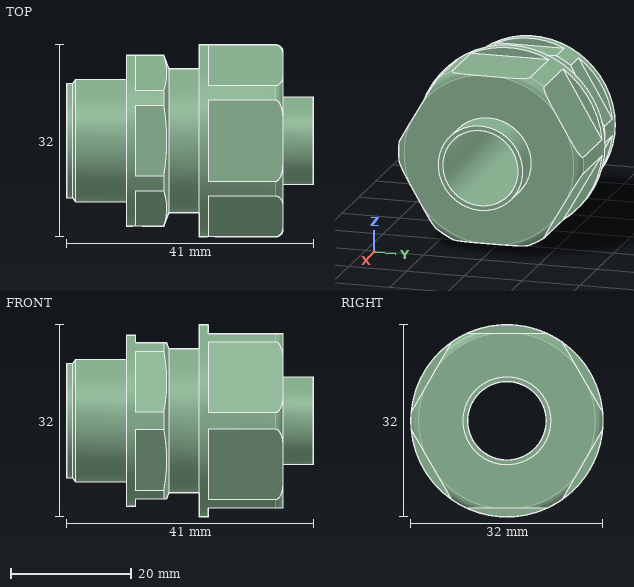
import cadquery as cq

lip_end = 1.02
thread_chamfer_end = 1.5
body_collar_start = 9.92
collar_thickness = 1.55
body_hex_cone_start = 16.15
body_hex_end = 17.0
nut_collar_start = 22.0
nut_end = 36.0
total_length = 41.0

bore_diameter = 13.0
tail_diameter = 14.6
lip_diameter = 19.05
thread_diameter = 20.4
neck_diameter = 24.0
body_collar_diameter = 28.5
nut_collar_diameter = 32.0

body_across_flats = 26.0
nut_across_flats = 29.0
nut_edge_radius = 1.3

cutter_margin = 0.8


def cylinder(start, end, diameter):
    """Solid cylinder along X between two stations."""
    return cq.Workplane("YZ", origin=(start, 0, 0)).circle(diameter / 2).extrude(end - start)


def cut_flats(body, start, end, across_flats, outer_diameter):
    """Trim a round body to a hexagon, with flats facing +Z and -Z."""
    stock = cylinder(start, end, outer_diameter + cutter_margin)
    hexagon = (
        cq.Workplane("YZ", origin=(start, 0, 0))
        .polygon(6, across_flats, circumscribed=True)
        .extrude(end - start)
        .rotate((0, 0, 0), (1, 0, 0), 90)
    )
    return body.cut(stock.cut(hexagon))


def make_threaded_end():
    """Plain thread cylinder with a chamfered start and a narrower lip."""
    profile = (
        cq.Workplane("XY")
        .moveTo(0, 0)
        .lineTo(0, lip_diameter / 2)
        .lineTo(lip_end, lip_diameter / 2)
        .lineTo(thread_chamfer_end, thread_diameter / 2)
        .lineTo(body_collar_start, thread_diameter / 2)
        .lineTo(body_collar_start, 0)
        .close()
    )
    return profile.revolve(360, (0, 0, 0), (1, 0, 0))


def make_body_hex():
    """Round collar followed by a hexagon whose end tapers to the neck."""
    profile = (
        cq.Workplane("XY")
        .moveTo(body_collar_start, 0)
        .lineTo(body_collar_start, body_collar_diameter / 2)
        .lineTo(body_hex_cone_start, body_collar_diameter / 2)
        .lineTo(body_hex_end, neck_diameter / 2)
        .lineTo(body_hex_end, 0)
        .close()
    )
    blank = profile.revolve(360, (0, 0, 0), (1, 0, 0))
    flats_start = body_collar_start + collar_thickness
    return cut_flats(blank, flats_start, body_hex_end, body_across_flats, body_collar_diameter)


def make_nut():
    """Round collar followed by a hexagon with a rounded outer end."""
    blank = cylinder(nut_collar_start, nut_end, nut_collar_diameter)
    blank = blank.faces(">X").edges().fillet(nut_edge_radius)
    flats_start = nut_collar_start + collar_thickness
    return cut_flats(blank, flats_start, nut_end, nut_across_flats, nut_collar_diameter)


neck = cylinder(body_hex_end, nut_collar_start, neck_diameter)
tail = cylinder(nut_end, total_length, tail_diameter)
bore = cylinder(0, total_length, bore_diameter)

result = make_threaded_end().union(make_body_hex()).union(neck).union(make_nut()).union(tail).cut(bore)